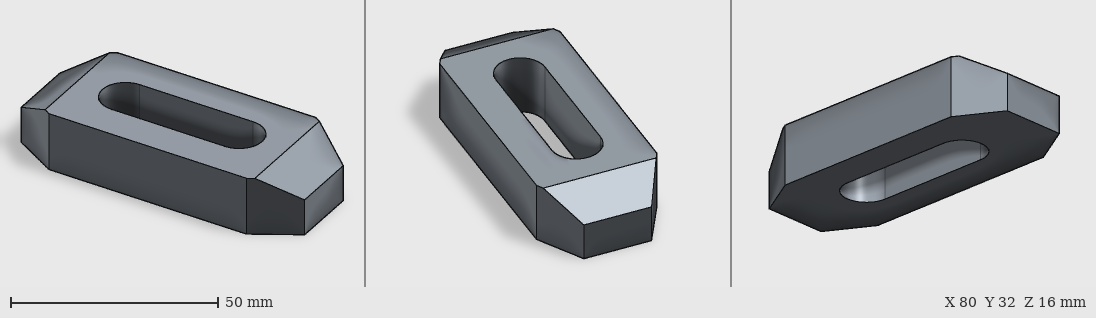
import cadquery as cq
import math

length = 80.0
width = 32.0
height = 16.0

taper_slope = math.tan(math.radians(30.0))
nose_width = 18.0
corner_depth = (width - nose_width) / 2
corner_length = corner_depth / taper_slope
bevel_drop = 6.0
bevel_length = bevel_drop / taper_slope

slot_length = 45.0
slot_width = 13.0


def make_body():
    """Block with its four vertical corners cut at an angle."""
    half_length = length / 2
    half_width = width / 2
    shoulder_x = half_length - corner_length
    nose_y = nose_width / 2
    outline = [
        (-half_length, -nose_y),
        (-shoulder_x, -half_width),
        (shoulder_x, -half_width),
        (half_length, -nose_y),
        (half_length, nose_y),
        (shoulder_x, half_width),
        (-shoulder_x, half_width),
        (-half_length, nose_y),
    ]
    return cq.Workplane("XY").polyline(outline).close().extrude(height)


def make_end_bevel(side):
    """Wedge that slopes the top face down at one end (side is -1 or +1)."""
    end_x = side * length / 2
    wedge = [
        (end_x, height),
        (end_x - side * bevel_length, height),
        (end_x, height - bevel_drop),
    ]
    return cq.Workplane("XZ").polyline(wedge).close().extrude(width / 2, both=True)


def make_slot():
    """Slot running the full height of the block."""
    return cq.Workplane("XY").slot2D(slot_length, slot_width).extrude(height)


result = make_body()
for end in (-1, 1):
    result = result.cut(make_end_bevel(end))
result = result.cut(make_slot())